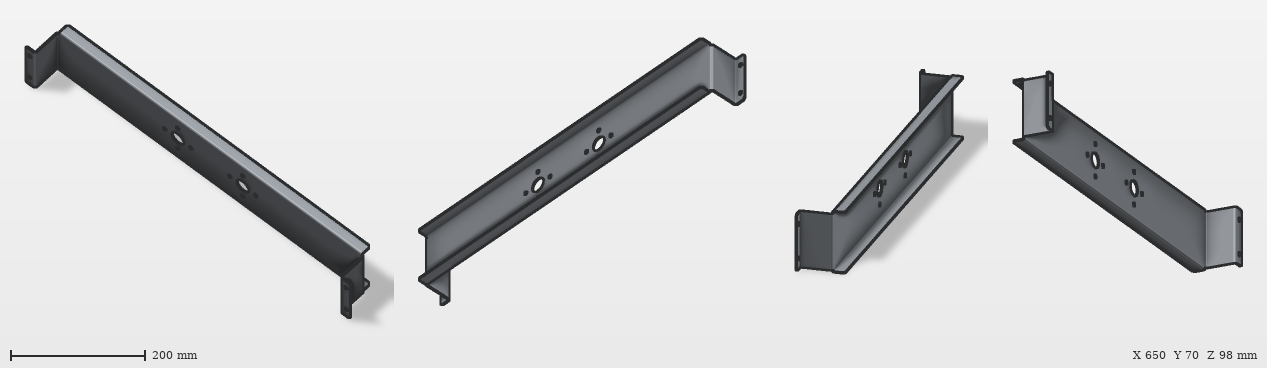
import cadquery as cq

length = 650.0
depth = 70.0
height = 98.0

sheet = 2.0
bend_inner = 2.0
bend_outer = bend_inner + sheet

tab_front_y = -depth / 2
lip_depth = 20.0
web_front_y = depth / 2 - lip_depth
web_rear_y = web_front_y + sheet
leg_span = 614.0
tab_corner_radius = 5.0

lip_length = 606.0
lip_corner_radius = 5.0
web_height = height - 2 * bend_outer

opening_spacing = 130.0
opening_diameter = 24.0
screw_circle_radius = 26.0
screw_hole_diameter = 6.0
mount_hole_diameter = 6.0
mount_hole_edge = 8.5
mount_hole_spacing = 55.0


def make_hat_strip():
    """Web, legs and tabs: a constant-thickness hat outline in XY, extruded along Z."""
    end_x = length / 2
    outer_x = leg_span / 2
    inner_x = outer_x - sheet
    outline = [
        (-end_x, tab_front_y),
        (-inner_x, tab_front_y),
        (-inner_x, web_front_y),
        (inner_x, web_front_y),
        (inner_x, tab_front_y),
        (end_x, tab_front_y),
        (end_x, tab_front_y + sheet),
        (outer_x, tab_front_y + sheet),
        (outer_x, web_rear_y),
        (-outer_x, web_rear_y),
        (-outer_x, tab_front_y + sheet),
        (-end_x, tab_front_y + sheet),
    ]
    strip = cq.Workplane("XY").polyline(outline).close().extrude(web_height / 2, both=True)
    for side in (-1, 1):
        for x, y, radius in (
            (inner_x, tab_front_y, bend_outer),
            (outer_x, tab_front_y + sheet, bend_inner),
            (inner_x, web_front_y, bend_inner),
            (outer_x, web_rear_y, bend_outer),
        ):
            strip = strip.edges(cq.NearestToPointSelector((side * x, y, 0))).fillet(radius)
    tab_corners = strip.edges("|Y").edges("<X or >X")
    return tab_corners.fillet(tab_corner_radius)


def make_lip():
    """Top lip: a quarter bend rising from the web edge, then a flat flange to the rear."""
    top_z = height / 2
    bend_z = top_z - bend_outer
    bend_y = web_front_y + bend_outer
    lip = (
        cq.Workplane("YZ")
        .moveTo(web_front_y, bend_z)
        .radiusArc((bend_y, top_z), bend_outer)
        .lineTo(depth / 2, top_z)
        .lineTo(depth / 2, top_z - sheet)
        .lineTo(bend_y, top_z - sheet)
        .radiusArc((web_rear_y, bend_z), -bend_inner)
        .close()
        .extrude(lip_length / 2, both=True)
    )
    return lip.edges("|Z and >Y").fillet(lip_corner_radius)


def make_hole_cutters(points, diameter):
    """Cylinders along Y through the full depth at the given (x, z) points."""
    return (
        cq.Workplane("XZ")
        .pushPoints(points)
        .circle(diameter / 2)
        .extrude(depth, both=True)
    )


top_lip = make_lip()
result = make_hat_strip().union(top_lip).union(top_lip.mirror("XY"))

openings = [(side * opening_spacing / 2, 0) for side in (-1, 1)]
screw_offsets = [
    (screw_circle_radius, 0),
    (0, screw_circle_radius),
    (-screw_circle_radius, 0),
    (0, -screw_circle_radius),
]
screw_holes = [(x + dx, z + dz) for x, z in openings for dx, dz in screw_offsets]
mount_x = length / 2 - mount_hole_edge
mount_z = mount_hole_spacing / 2
mount_holes = [(sx * mount_x, sz * mount_z) for sx in (-1, 1) for sz in (-1, 1)]

result = result.cut(make_hole_cutters(openings, opening_diameter))
result = result.cut(make_hole_cutters(screw_holes, screw_hole_diameter))
result = result.cut(make_hole_cutters(mount_holes, mount_hole_diameter))